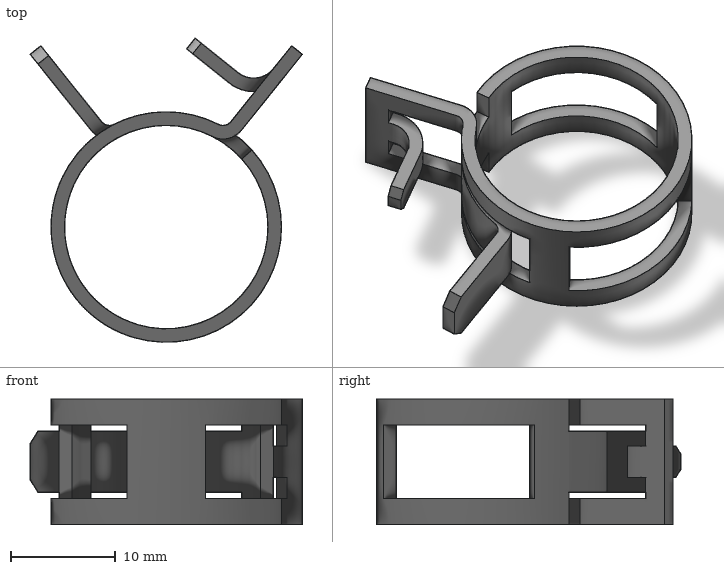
import cadquery as cq
import math


overall_width = 26.0
overall_depth = 29.05
band_width = 12.0
thickness = 1.3

outer_radius = 11.0
inner_radius = outer_radius - thickness

arm_angle = 51.3
arm_tip_y = 17.3
bend_radius = 1.0

bridge_half_angle = 20.0
window_top_angle = 21.8
wide_end_angle = 42.0
slot_width = 7.0
slot_tip_margin = 2.32

tongue_width = 5.85
tongue_chamfer = 1.2

hook_width = 3.0
hook_chamfer = 0.75
hook_bend_radius = 2.4
hook_lead = 0.46

slope = math.radians(arm_angle)
arm_direction = cq.Vector(math.cos(slope), math.sin(slope))
arm_normal = cq.Vector(-math.sin(slope), math.cos(slope))
arm_tip = cq.Vector(overall_width / 2 - thickness * math.sin(slope), arm_tip_y)

bend_offset = arm_tip.dot(arm_normal) + bend_radius
bend_reach = math.sqrt((outer_radius + bend_radius) ** 2 - bend_offset**2)
bend_center = arm_normal * bend_offset + arm_direction * bend_reach
bend_angle = math.degrees(math.atan2(bend_center.y, bend_center.x))

arm_frame = cq.Plane(origin=arm_tip.toTuple(), xDir=arm_direction.toTuple(), normal=(0, 0, 1))


def polar(radius, angle, center=cq.Vector(0, 0)):
    """Point at a radius and an angle in degrees around a center."""
    turn = math.radians(angle)
    return (center.x + radius * math.cos(turn), center.y + radius * math.sin(turn))


def bent_strip(end_angle, width, tip_margin=0.0):
    """Right arm and the ring from its bend counterclockwise to end_angle."""
    tip_inner = arm_tip - arm_direction * tip_margin
    tip_outer = tip_inner - arm_normal * thickness
    bend_start = bend_angle - 180
    bend_end = arm_angle - 90
    bend_middle = (bend_start + bend_end) / 2
    ring_middle = (bend_angle + end_angle) / 2
    bend_outer_radius = bend_radius + thickness
    return (
        cq.Workplane("XY", origin=(0, 0, -width / 2))
        .moveTo(*polar(outer_radius, end_angle))
        .threePointArc(polar(outer_radius, ring_middle), polar(outer_radius, bend_angle))
        .threePointArc(
            polar(bend_radius, bend_middle, bend_center),
            polar(bend_radius, bend_end, bend_center),
        )
        .lineTo(tip_inner.x, tip_inner.y)
        .lineTo(tip_outer.x, tip_outer.y)
        .lineTo(*polar(bend_outer_radius, bend_end, bend_center))
        .threePointArc(
            polar(bend_outer_radius, bend_middle, bend_center),
            polar(inner_radius, bend_angle),
        )
        .threePointArc(polar(inner_radius, ring_middle), polar(inner_radius, end_angle))
        .close()
        .extrude(width)
    )


def side_window():
    """Cutter for the right side window, with radial end walls."""
    start_angle = bridge_half_angle - 90
    middle_angle = (start_angle + window_top_angle) / 2
    cut_inner = inner_radius - thickness
    cut_outer = outer_radius + thickness
    return (
        cq.Workplane("XY", origin=(0, 0, -slot_width / 2))
        .moveTo(*polar(cut_inner, start_angle))
        .lineTo(*polar(cut_outer, start_angle))
        .threePointArc(polar(cut_outer, middle_angle), polar(cut_outer, window_top_angle))
        .lineTo(*polar(cut_inner, window_top_angle))
        .threePointArc(polar(cut_inner, middle_angle), polar(cut_inner, start_angle))
        .close()
        .extrude(slot_width)
    )


def chamfered_tip_cutter(tip_frame, width, chamfer):
    """Two wedges that chamfer a strip tip; the frame's X points out of the tip."""
    side_frame = cq.Plane(origin=tip_frame.origin, xDir=tip_frame.xDir, normal=-tip_frame.yDir)
    wedge = (
        cq.Workplane(side_frame)
        .polyline([(0, width / 2), (-chamfer, width / 2), (0, width / 2 - chamfer)])
        .close()
        .extrude(2 * thickness, both=True)
    )
    return wedge.union(wedge.mirror("XY"))


def wide_band():
    """Full width band with its long slot and two side windows."""
    band = bent_strip(360 + wide_end_angle, band_width)
    slot = bent_strip(180 - wide_end_angle, slot_width, slot_tip_margin)
    window = side_window()
    return band.cut(slot).cut(window).cut(window.mirror("YZ"))


def tongue():
    """Narrow strip from the wide end through the slot to the left arm."""
    strip = bent_strip(180 - wide_end_angle, tongue_width)
    chamfer_cut = chamfered_tip_cutter(arm_frame, tongue_width, tongue_chamfer)
    return strip.cut(chamfer_cut).mirror("YZ")


def hook():
    """Narrow hook that leaves the end of the slot and turns square across the V."""
    bend_x = -slot_tip_margin - hook_lead
    outer_bend_radius = hook_bend_radius + thickness
    upper_x = bend_x - hook_bend_radius
    lower_x = upper_x - thickness
    top_y = overall_depth - outer_radius
    length = (top_y - arm_tip.y - upper_x * arm_direction.y) / arm_normal.y
    diagonal = math.sqrt(0.5)
    body = (
        cq.Workplane(arm_frame)
        .workplane(offset=-hook_width / 2)
        .moveTo(-slot_tip_margin, 0)
        .lineTo(bend_x, 0)
        .threePointArc(
            (bend_x - hook_bend_radius * diagonal, hook_bend_radius * (1 - diagonal)),
            (upper_x, hook_bend_radius),
        )
        .lineTo(upper_x, length)
        .lineTo(lower_x, length)
        .lineTo(lower_x, hook_bend_radius)
        .threePointArc(
            (bend_x - outer_bend_radius * diagonal, hook_bend_radius - outer_bend_radius * diagonal),
            (bend_x, -thickness),
        )
        .lineTo(-slot_tip_margin, -thickness)
        .close()
        .extrude(hook_width)
    )
    tip_frame = cq.Plane(
        origin=arm_frame.toWorldCoords((upper_x, length)),
        xDir=arm_normal,
        normal=(0, 0, 1),
    )
    return body.cut(chamfered_tip_cutter(tip_frame, hook_width, hook_chamfer))


result = wide_band().union(tongue()).union(hook())